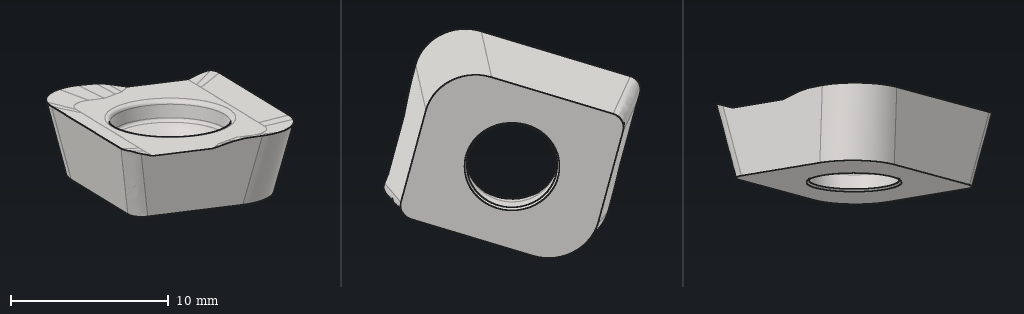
import cadquery as cq
import math

length = 14.76
width = 12.7
height = 4.75
bottom_inset_x = 0.99
bottom_inset_y = 0.92

nose_radius = 3.25
corner_radius = 0.99
side_tilt = math.radians(4)

face_depth = 0.47
face_half_width = 4.58
face_z = height - face_depth

bore_radius = 2.86
bore_chamfer = 0.15
counterbore_radius = 3.84
lip_radius = 0.31
counterbore_depth = 1.21
seat_end_depth = 3.2
seat_radius = 2.21
seat_blend_radius = 0.34

foot_line_end = (-3.4, -face_half_width)
foot_nose_start = (-4.22, -face_half_width)
foot_nose_middle = (-5.2, -4.15)
foot_nose_end = (-5.6, -3.01)
foot_side_end = (-5.54, -1.93)
foot_fall_start = (-5.99, -0.92)
foot_fall_middle = (-6.26, -0.32)
foot_fall_end = (-7.73, 1.15)
fall_shift = (-1.39, -0.78)
foot_corner_fall = (-5.5, face_half_width)
foot_corner_line = (-4.87, face_half_width)
nose_blend_angles = (253, 202)
corner_fall_angle = 135
outside_x = -9.15


def polar(center, radius, angle):
    """Point on a circle at an angle in radians."""
    return (center[0] + radius * math.cos(angle), center[1] + radius * math.sin(angle))


def opposite(point):
    """Point turned half a revolution about the Z axis."""
    return (-point[0], -point[1])


def arc_centers(half_length, half_width):
    """Centers of the front-left nose and the back-left small corner."""
    nose = (nose_radius - half_length, nose_radius - half_width)
    corner_y = half_width - corner_radius
    corner_x = nose[0] + (
        (corner_y - nose[1]) * math.sin(side_tilt) + corner_radius - nose_radius
    ) / math.cos(side_tilt)
    return nose, (corner_x, corner_y)


def closed_wire(half_path, z):
    """Wire from half an outline and its half-turn copy.

    Each step is (end,) for a line or (middle, end) for an arc; the first entry is the start.
    """
    start = half_path[0][0]
    turned = [tuple(opposite(point) for point in step) for step in half_path]
    steps = half_path[1:] + turned
    sketch = cq.Workplane("XY", origin=(0, 0, z)).moveTo(*start)
    for step in steps:
        sketch = sketch.threePointArc(*step) if len(step) == 2 else sketch.lineTo(*step[0])
    return sketch.close().val()


def arc_step(center, radius, start_angle, end_angle):
    """Arc step between two angles in radians."""
    middle_angle = (start_angle + end_angle) / 2
    return (polar(center, radius, middle_angle), polar(center, radius, end_angle))


side_angle = math.pi - side_tilt
front_angle = 3 * math.pi / 2
back_angle = math.pi / 2


def body_wire(half_length, half_width, z):
    nose, corner = arc_centers(half_length, half_width)
    return closed_wire([
        (polar(nose, nose_radius, front_angle),),
        arc_step(nose, nose_radius, front_angle, side_angle),
        (polar(corner, corner_radius, side_angle),),
        arc_step(corner, corner_radius, side_angle, back_angle),
    ], z)


def make_body():
    base = body_wire(length / 2 - bottom_inset_x, width / 2 - bottom_inset_y, 0)
    rim = body_wire(length / 2, width / 2, height)
    return cq.Workplane(cq.Solid.makeLoft([base, rim], True))


def make_face_cutter():
    """Volume over the central face and its sloping land."""
    nose, corner = arc_centers(length / 2, width / 2)
    blend_start, blend_end = (math.radians(angle) for angle in nose_blend_angles)
    fall_angle = math.radians(corner_fall_angle)
    corner_fall = polar(corner, corner_radius, fall_angle)

    def rim_of(foot):
        return (foot[0] + fall_shift[0], foot[1] + fall_shift[1])

    foot_path = [
        (foot_line_end,),
        (foot_nose_start,),
        (foot_nose_middle, foot_nose_end),
        (foot_side_end,),
        (foot_fall_start,),
        (foot_fall_middle,),
        (foot_fall_end,),
        ((outside_x, face_half_width),),
        (foot_corner_fall,),
        (foot_corner_line,),
    ]
    rim_path = [
        (polar(nose, nose_radius, front_angle),),
        arc_step(nose, nose_radius, front_angle, blend_start),
        arc_step(nose, nose_radius, blend_start, blend_end),
        arc_step(nose, nose_radius, blend_end, side_angle),
        (rim_of(foot_fall_start),),
        (rim_of(foot_fall_middle),),
        (rim_of(foot_fall_end),),
        ((outside_x, corner_fall[1]),),
        (corner_fall,),
        arc_step(corner, corner_radius, fall_angle, back_angle),
    ]
    foot = closed_wire(foot_path, face_z)
    rim = closed_wire(rim_path, height)
    return cq.Workplane(cq.Solid.makeLoft([foot, rim], True))


def make_hole_cutter():
    lip_center = (counterbore_radius + lip_radius, face_z - lip_radius)
    blend_center = (counterbore_radius - seat_blend_radius, face_z - counterbore_depth)
    seat_center = (bore_radius + seat_radius, face_z - seat_end_depth)
    meet_angle = math.atan2(blend_center[1] - seat_center[1], blend_center[0] - seat_center[0])
    seat_start = polar(seat_center, seat_radius, meet_angle)
    blend_end_angle = math.atan2(seat_start[1] - blend_center[1], seat_start[0] - blend_center[0])
    profile = (
        cq.Workplane("XZ")
        .lineTo(bore_radius + bore_chamfer, 0)
        .lineTo(bore_radius, bore_chamfer)
        .lineTo(bore_radius, seat_center[1])
        .threePointArc(polar(seat_center, seat_radius, (meet_angle + math.pi) / 2), seat_start)
        .threePointArc(
            polar(blend_center, seat_blend_radius, blend_end_angle / 2),
            (counterbore_radius, blend_center[1]),
        )
        .lineTo(counterbore_radius, lip_center[1])
        .threePointArc(polar(lip_center, lip_radius, 3 * math.pi / 4), (lip_center[0], face_z))
        .lineTo(0, face_z)
        .close()
    )
    return profile.revolve(360, (0, 0), (0, 1))


result = make_body().cut(make_face_cutter()).cut(make_hole_cutter())